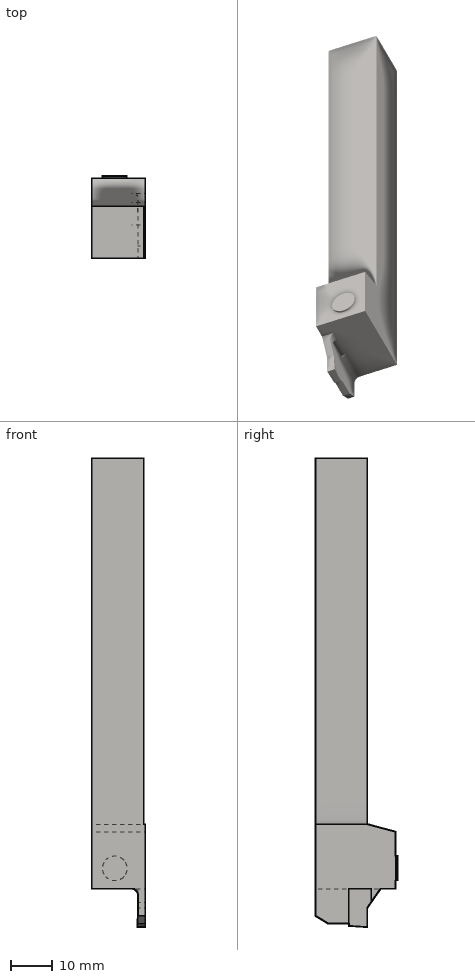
import cadquery as cq
import math

SHANK_SIZE = 12.7
TOTAL_HEIGHT = 114.3
HEAD_BOTTOM_Z = 9.35

HEAD_WIDTH = 13.04
HEAD_DEPTH = 19.6
SHOULDER_Z = 25.15
SHOULDER_ANGLE = 15

BLADE_THICKNESS = 1.8
BLADE_BOTTOM_Z = 0.9
BLADE_ROOT_RADIUS = 1.5
BEVEL_WIDTH = 3.1
BEVEL_HEIGHT = 1.9
FLANK_TOP_Y = 15.9
FLANK_BOTTOM_Z = 4.7

INSERT_BACK_Y = 8.2
INSERT_CLAMPED_Y = 13.7
INSERT_HEEL_Z = 0.3
FLARE_HEIGHT = 3.5
FLARE_LENGTH = 2.5
FLARE_WIDTH = 0.2

SCREW_HEAD_DIAMETER = 6.0
SCREW_HEAD_PROJECTION = 0.5
SCREW_X = 5.55
SCREW_Z = 14.4

blade_x = HEAD_WIDTH - BLADE_THICKNESS
heel_slope = INSERT_HEEL_Z / (SHANK_SIZE - INSERT_BACK_Y)
flank_slope = (FLANK_TOP_Y - SHANK_SIZE) / (HEAD_BOTTOM_Z - FLANK_BOTTOM_Z)


def flank_z(y):
    """Height of the sloping flank line at depth y."""
    return FLANK_BOTTOM_Z + (y - SHANK_SIZE) / flank_slope


def extrude_along_x(points, start_x, length):
    """Extrude a closed (Y, Z) outline in +X from start_x."""
    return cq.Workplane("YZ").workplane(offset=start_x).polyline(points).close().extrude(length)


def make_shank():
    height = TOTAL_HEIGHT - HEAD_BOTTOM_Z
    base = cq.Workplane("XY", origin=(0, 0, HEAD_BOTTOM_Z))
    return base.box(SHANK_SIZE, SHANK_SIZE, height, centered=False)


def make_head():
    shoulder_drop = (HEAD_DEPTH - SHANK_SIZE) * math.tan(math.radians(SHOULDER_ANGLE))
    outline = [
        (0, HEAD_BOTTOM_Z),
        (HEAD_DEPTH, HEAD_BOTTOM_Z),
        (HEAD_DEPTH, SHOULDER_Z - shoulder_drop),
        (SHANK_SIZE, SHOULDER_Z),
        (0, SHOULDER_Z),
    ]
    return extrude_along_x(outline, 0, HEAD_WIDTH)


def make_blade():
    """Blade with a concave fillet at its root, trimmed by the bevel and the flank."""
    section = (
        cq.Workplane("XZ")
        .moveTo(HEAD_WIDTH, BLADE_BOTTOM_Z)
        .lineTo(HEAD_WIDTH, HEAD_BOTTOM_Z)
        .lineTo(blade_x - BLADE_ROOT_RADIUS, HEAD_BOTTOM_Z)
        .radiusArc((blade_x, HEAD_BOTTOM_Z - BLADE_ROOT_RADIUS), BLADE_ROOT_RADIUS)
        .lineTo(blade_x, BLADE_BOTTOM_Z)
        .close()
        .extrude(-HEAD_DEPTH)
    )
    profile = [
        (0, HEAD_BOTTOM_Z),
        (0, BLADE_BOTTOM_Z + BEVEL_HEIGHT),
        (BEVEL_WIDTH, BLADE_BOTTOM_Z),
        (SHANK_SIZE - (FLANK_BOTTOM_Z - BLADE_BOTTOM_Z) * flank_slope, BLADE_BOTTOM_Z),
        (FLANK_TOP_Y, HEAD_BOTTOM_Z),
    ]
    return section.intersect(extrude_along_x(profile, 0, HEAD_WIDTH))


def make_insert_seat():
    """Slot through the blade that the insert fills, open below."""
    slot_depth = INSERT_CLAMPED_Y - INSERT_BACK_Y
    base = cq.Workplane("XY", origin=(0, INSERT_BACK_Y, 0))
    return base.box(HEAD_WIDTH, slot_depth, HEAD_BOTTOM_Z, centered=False)


def make_screw_head():
    return (
        cq.Workplane("XZ", origin=(SCREW_X, HEAD_DEPTH, SCREW_Z))
        .circle(SCREW_HEAD_DIAMETER / 2)
        .extrude(-SCREW_HEAD_PROJECTION)
    )


def make_holder():
    blade = make_blade().cut(make_insert_seat())
    return make_shank().union(make_head()).union(blade).union(make_screw_head())


def make_side_flare():
    """Slim tetrahedron that widens the insert toward -X at its cutting corner."""
    corner = cq.Vector(blade_x, SHANK_SIZE, 0)
    peak = corner - cq.Vector(FLARE_WIDTH, 0, 0)
    upper = corner + cq.Vector(0, 0, FLARE_HEIGHT)
    heel = corner + cq.Vector(0, -FLARE_LENGTH, FLARE_LENGTH * heel_slope)
    triangles = [
        (corner, upper, heel),
        (corner, peak, upper),
        (corner, heel, peak),
        (peak, heel, upper),
    ]
    faces = [cq.Face.makeFromWires(cq.Wire.makePolygon(points, close=True)) for points in triangles]
    return cq.Workplane(cq.Solid.makeSolid(cq.Shell.makeShell(faces)))


def make_insert():
    outline = [
        (INSERT_BACK_Y, HEAD_BOTTOM_Z),
        (INSERT_BACK_Y, INSERT_HEEL_Z),
        (SHANK_SIZE, 0),
        (SHANK_SIZE, FLANK_BOTTOM_Z),
        (INSERT_CLAMPED_Y, flank_z(INSERT_CLAMPED_Y)),
        (INSERT_CLAMPED_Y, HEAD_BOTTOM_Z),
    ]
    return extrude_along_x(outline, blade_x, BLADE_THICKNESS).union(make_side_flare())


holder = make_holder()
insert = make_insert()
result = cq.Compound.makeCompound([holder.solids().val(), insert.solids().val()])